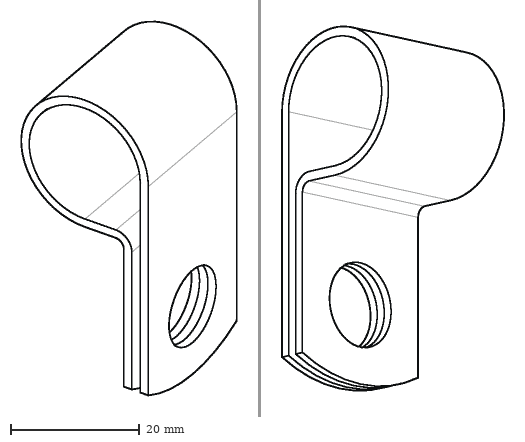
import cadquery as cq

height = 53.9
width = 25.4
loop_diameter = 23.65
thickness = 1.5
leg_gap = 1.55
bend_inner_radius = 1.5
hole_diameter = 13.5
hole_height = 12.65
end_arc_rise = 3.0

loop_radius = loop_diameter / 2
bore_radius = loop_radius - thickness
loop_z = height - loop_radius
bend_outer_radius = bend_inner_radius + thickness
short_leg_outer_x = bore_radius - leg_gap
short_leg_inner_x = short_leg_outer_x - thickness
bend_x = short_leg_outer_x - bend_outer_radius
bend_z = loop_z - bore_radius - bend_outer_radius


def bent_strip():
    """Strip wrapped three quarters around the loop, ending in two parallel legs."""
    diagonal = 0.5 ** 0.5
    upper_left = (-diagonal, diagonal)
    upper_right = (diagonal, diagonal)

    def on_circle(center_x, center_z, radius, direction):
        return (center_x + radius * direction[0], center_z + radius * direction[1])

    return (
        cq.Workplane("XZ", origin=(0, width / 2, 0))
        .moveTo(loop_radius, 0)
        .lineTo(loop_radius, loop_z)
        .threePointArc(on_circle(0, loop_z, loop_radius, upper_left), (0, loop_z - loop_radius))
        .lineTo(bend_x, bend_z + bend_inner_radius)
        .threePointArc(
            on_circle(bend_x, bend_z, bend_inner_radius, upper_right),
            (short_leg_inner_x, bend_z),
        )
        .lineTo(short_leg_inner_x, 0)
        .lineTo(short_leg_outer_x, 0)
        .lineTo(short_leg_outer_x, bend_z)
        .threePointArc(
            on_circle(bend_x, bend_z, bend_outer_radius, upper_right),
            (bend_x, bend_z + bend_outer_radius),
        )
        .lineTo(0, loop_z - bore_radius)
        .threePointArc(on_circle(0, loop_z, bore_radius, upper_left), (bore_radius, loop_z))
        .lineTo(bore_radius, 0)
        .close()
        .extrude(width)
    )


def rounded_end_envelope():
    """Block as wide as the strip whose curved underside shapes both leg ends."""
    return (
        cq.Workplane("YZ", origin=(-loop_radius, 0, 0))
        .moveTo(-width / 2, height)
        .lineTo(-width / 2, end_arc_rise)
        .threePointArc((0, 0), (width / 2, end_arc_rise))
        .lineTo(width / 2, height)
        .close()
        .extrude(loop_diameter)
    )


def screw_hole():
    """Cylinder along X that pierces both legs."""
    return (
        cq.Workplane("YZ", origin=(-loop_radius, 0, 0))
        .center(0, hole_height)
        .circle(hole_diameter / 2)
        .extrude(loop_diameter)
    )


result = bent_strip().intersect(rounded_end_envelope()).cut(screw_hole())